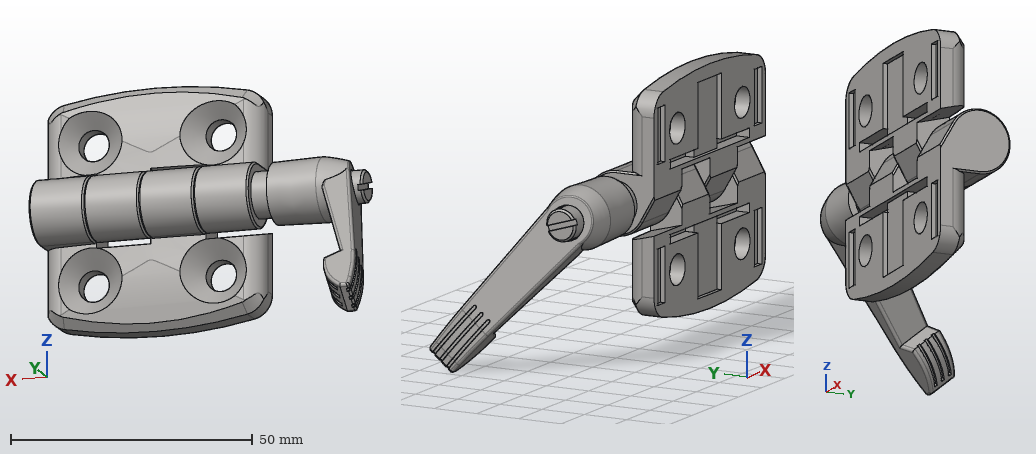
import cadquery as cq
import math

leaf_width = 48.05
leaf_reach = 26.0
leaf_thickness = 7.8
end_drop = 2.95
corner_radius = 4.95
crown_start = 10.85
crown_end_thickness = 5.5
crown_mid_sag = 0.6
side_wall = 2.8
side_round = 4.0
shoulder_height = 6.75
rim_wall = 4.5

axis_y = 9.0
knuckle_radius = 7.0
knuckle_pitch = leaf_width / 4
knuckle_chamfer = 0.4
knuckle_slope = 60.0
notch_start = 6.0
notch_slope = 15.0

hole_x = 13.95
hole_z = 15.0
hole_radius = 3.3
countersink_start = 3.4

pocket_depth = 1.0
side_pocket_x = 20.85
side_pocket_width = 3.0
side_pocket_z = (9.0, 21.0)
centre_pocket_width = 10.0
centre_pocket_z = (7.0, 23.0)
slot_length = 34.0
slot_z = (7.0, 9.0)
slot_depth = 3.0

stud_radius = 4.95
hub_end_x = -28.0
stud_socket = 7.0
pin_radius = 3.0
pin_end_x = 20.15

hub_end_radius = 6.6
hub_shoulder_x = -38.9
hub_shoulder_radius = 6.9
hub_nose_x = -47.6
hub_nose_radius = 4.4
hub_bulge = (-43.85, 5.7)
hub_round = 0.4
arm_face_x = -45.25
arm_lean = 0.25
arm_angle = 50.0
arm_length = 39.8
arm_root_half_width = 5.4
arm_tip_half_width = 3.65
arm_round = 0.6
grip_start = 28.1
grip_back = ((-53.1, 32.55), (-53.5, 37.2))
lever_left_x = -53.5
tip_corner = 0.5
tip_inner_x = -51.45
hook_bulge = (-47.6, 35.65)
hook_point = (-45.9, 30.0)
hook_root = (-49.05, 27.9)
arm_crotch = (-40.4, 5.65)

groove_start = 25.6
groove_pitch = 2.1
groove_width = 0.7
groove_depth = 0.3
grip_middle_x = -50.4

screw_head_radius = 3.5
screw_head_x = -48.0
screw_head_chamfer = 0.5
screw_seat_x = -43.4
screw_recess_radius = 3.7
screw_shank_radius = 2.0
screw_slot_width = 1.25
screw_slot_depth = 1.0
screw_slot_angle = 17.0

half_width = leaf_width / 2
stud_inner_x = hub_end_x - stud_socket


def box(x_range, y_range, z_range):
    """Axis-aligned block between the given limits."""
    size = [limits[1] - limits[0] for limits in (x_range, y_range, z_range)]
    corner = (x_range[0], y_range[0], z_range[0])
    return cq.Workplane("XY").box(*size, centered=False).translate(corner)


def rod(x_start, x_end, radius):
    """Cylinder along the hinge axis."""
    return (
        cq.Workplane("YZ", origin=(x_start, axis_y, 0))
        .circle(radius)
        .extrude(x_end - x_start)
    )


def leaf_plate():
    """Plate with a bowed end, a crowned back and rounded side shoulders."""
    side_top = leaf_reach - end_drop
    outline = (
        cq.Workplane("XZ")
        .moveTo(-half_width, notch_start)
        .lineTo(-half_width, side_top)
        .threePointArc((0, leaf_reach), (half_width, side_top))
        .lineTo(half_width, notch_start)
        .close()
        .extrude(-leaf_thickness)
        .edges("|Y")
        .edges(">Z")
        .fillet(corner_radius)
        .faces(">Y")
        .edges("not <Z")
        .chamfer(leaf_thickness - rim_wall)
    )
    crown_middle = (
        (leaf_thickness + crown_end_thickness) / 2 + crown_mid_sag,
        (crown_start + leaf_reach) / 2,
    )
    crown = (
        cq.Workplane("YZ")
        .moveTo(0, 0)
        .lineTo(leaf_thickness, 0)
        .lineTo(leaf_thickness, crown_start)
        .threePointArc(crown_middle, (crown_end_thickness, leaf_reach))
        .lineTo(0, leaf_reach)
        .close()
        .extrude(half_width, both=True)
    )
    shoulder_x = half_width - side_round
    bulge = math.sqrt(0.5)
    shoulder_middle_x = shoulder_x + side_round * bulge
    shoulder_middle_y = side_wall + (shoulder_height - side_wall) * bulge
    shoulders = (
        cq.Workplane("XY")
        .moveTo(-half_width, 0)
        .lineTo(-half_width, side_wall)
        .threePointArc((-shoulder_middle_x, shoulder_middle_y), (-shoulder_x, shoulder_height))
        .threePointArc((0, leaf_thickness), (shoulder_x, shoulder_height))
        .threePointArc((shoulder_middle_x, shoulder_middle_y), (half_width, side_wall))
        .lineTo(half_width, 0)
        .close()
        .extrude(leaf_reach)
    )
    return outline.intersect(crown).intersect(shoulders)


def notch(x_start):
    """Clearance for one knuckle of the other leaf, with a leaning floor."""
    floor_end = notch_start + leaf_thickness * math.tan(math.radians(notch_slope))
    return (
        cq.Workplane("YZ", origin=(x_start, 0, 0))
        .polyline([(0, 0), (0, notch_start), (leaf_thickness, floor_end), (leaf_thickness, 0)])
        .close()
        .extrude(knuckle_pitch)
    )


def knuckle(x_start):
    """Barrel and web of one knuckle, with chamfered ends."""
    slope = math.radians(knuckle_slope)
    barrel_and_relief = cq.selectors.BoxSelector(
        (-leaf_width, 0.8, -leaf_width), (leaf_width, leaf_width, knuckle_radius - 0.8)
    )
    tangent_y = axis_y - knuckle_radius * math.sin(slope)
    tangent_z = -knuckle_radius * math.cos(slope)
    relief_z = tangent_z + tangent_y * math.tan(slope)
    return (
        cq.Workplane("YZ", origin=(x_start, 0, 0))
        .moveTo(0, knuckle_radius)
        .lineTo(axis_y, knuckle_radius)
        .threePointArc((axis_y + knuckle_radius * math.sin(slope), tangent_z), (tangent_y, tangent_z))
        .lineTo(0, relief_z)
        .close()
        .extrude(knuckle_pitch)
        .faces("<X or >X")
        .edges(barrel_and_relief)
        .chamfer(knuckle_chamfer)
    )


def screw_hole(x):
    """Mounting hole with a 90 degree countersink open to the crowned side."""
    sink_radius = hole_radius + leaf_thickness - countersink_start
    profile = [
        (0, 0),
        (hole_radius, 0),
        (hole_radius, countersink_start),
        (sink_radius, leaf_thickness),
        (0, leaf_thickness),
    ]
    hole = cq.Workplane("XY").polyline(profile).close().revolve(360, (0, 0, 0), (0, 1, 0))
    return hole.translate((x, 0, hole_z))


def mounting_face_pockets():
    """Shallow pockets and the two deeper slots of the mounting face."""
    pockets = box(
        (-centre_pocket_width / 2, centre_pocket_width / 2), (0, pocket_depth), centre_pocket_z
    )
    slot_width = (slot_length - centre_pocket_width) / 2
    slot_middle = (slot_length + centre_pocket_width) / 4
    for side in (-1, 1):
        x_range = (side * slot_middle - slot_width / 2, side * slot_middle + slot_width / 2)
        pockets = pockets.union(box(x_range, (0, slot_depth), slot_z))
        middle = side * side_pocket_x
        x_range = (middle - side_pocket_width / 2, middle + side_pocket_width / 2)
        pockets = pockets.union(box(x_range, (0, pocket_depth), side_pocket_z))
    return pockets


def hinge_leaf():
    """Upper leaf: knuckles in the first and third quarters of the width."""
    leaf = leaf_plate()
    for quarter in (1, 3):
        leaf = leaf.cut(notch(-half_width + quarter * knuckle_pitch))
    for quarter in (0, 2):
        leaf = leaf.union(knuckle(-half_width + quarter * knuckle_pitch))
    for side in (-1, 1):
        leaf = leaf.cut(screw_hole(side * hole_x))
    return leaf.cut(mounting_face_pockets())


def hinge_stud():
    """Collar seated in the lever hub, with the hinge pin in one piece."""
    collar = rod(stud_inner_x, -half_width, stud_radius)
    return collar.union(rod(-half_width, pin_end_x, pin_radius))


def place_lever(body):
    return body.rotate((0, 0, 0), (1, 0, 0), -arm_angle).translate((0, axis_y, 0))


def outer_face_x(reach):
    """X of the leaning outer face at a signed reach from the hinge axis."""
    return arm_face_x - arm_lean * reach


def lever_hub():
    """Tapered hub whose nose is cut off in line with the arm's outer face."""
    hub = (
        cq.Workplane("XY")
        .moveTo(hub_end_x, 0)
        .lineTo(hub_end_x, hub_end_radius)
        .lineTo(hub_shoulder_x, hub_shoulder_radius)
        .threePointArc(hub_bulge, (hub_nose_x, hub_nose_radius))
        .lineTo(hub_nose_x, 0)
        .close()
        .revolve(360, (0, 0, 0), (1, 0, 0))
    )
    nose = [
        (lever_left_x, -arm_length),
        (outer_face_x(-arm_length), -arm_length),
        (outer_face_x(arm_length), arm_length),
        (outer_face_x(arm_length) + lever_left_x, arm_length),
        (lever_left_x + lever_left_x, -arm_length),
    ]
    nose_cut = cq.Workplane("XY").polyline(nose).close().extrude(arm_length, both=True)
    return hub.cut(nose_cut).faces("<X").edges().fillet(hub_round)


def lever_arm():
    """Tapered arm with a hooked grip, rounded along its edges."""
    profile = (
        cq.Workplane("XY")
        .moveTo(arm_face_x, 0)
        .lineTo(outer_face_x(grip_start), grip_start)
        .threePointArc(*grip_back)
        .lineTo(lever_left_x, arm_length - tip_corner)
        .lineTo(lever_left_x + tip_corner, arm_length)
        .lineTo(tip_inner_x, arm_length)
        .threePointArc(hook_bulge, hook_point)
        .lineTo(*hook_root)
        .lineTo(*arm_crotch)
        .lineTo(arm_crotch[0], 0)
        .close()
        .extrude(arm_root_half_width, both=True)
    )
    planform = (
        cq.Workplane("YZ", origin=(lever_left_x, 0, 0))
        .polyline(
            [
                (0, -arm_root_half_width),
                (arm_length, -arm_tip_half_width),
                (arm_length, arm_tip_half_width),
                (0, arm_root_half_width),
            ]
        )
        .close()
        .extrude(-lever_left_x)
    )
    arm = profile.intersect(planform)
    return arm.edges("not(|Z or <Y)").fillet(arm_round)


def groove_strips(start, x_range):
    """Three parallel strips with a round start that run past the tip of the arm."""
    length = arm_length - start
    rows = [(arm_length, position * groove_pitch) for position in (-1, 0, 1)]
    return (
        cq.Workplane("YZ", origin=(x_range[0], 0, 0))
        .pushPoints(rows)
        .slot2D(2 * length, groove_width)
        .extrude(x_range[1] - x_range[0])
    )


def cut_grip_grooves(arm):
    """Cut the grooves to an even depth into the grip's back and its hook."""
    back_core = arm.translate((groove_depth, 0, 0))
    hook_core = arm.translate((-groove_depth, -groove_depth, 0))
    back = groove_strips(groove_start, (lever_left_x, grip_middle_x)).cut(back_core)
    hook = groove_strips(hook_root[1], (grip_middle_x, hook_point[0])).cut(hook_core)
    return arm.cut(back).cut(hook)


def clamping_lever():
    """Hub and arm with a screw bore, a screw recess and the stud socket."""
    lever = lever_hub().union(cut_grip_grooves(lever_arm()))
    lever = place_lever(lever)
    lever = lever.cut(rod(stud_inner_x, hub_end_x, stud_radius))
    lever = lever.cut(rod(screw_seat_x, stud_inner_x, screw_shank_radius))
    return lever.cut(rod(lever_left_x, screw_seat_x, screw_recess_radius))


def lever_screw():
    """Slotted screw that holds the lever on the stud."""
    head = rod(screw_head_x, screw_seat_x, screw_head_radius)
    head = head.faces("<X").edges().chamfer(screw_head_chamfer)
    slot = (
        box(
            (screw_head_x, screw_head_x + screw_slot_depth),
            (-screw_head_radius, screw_head_radius),
            (-screw_slot_width / 2, screw_slot_width / 2),
        )
        .rotate((0, 0, 0), (1, 0, 0), -screw_slot_angle)
        .translate((0, axis_y, 0))
    )
    return head.cut(slot).union(rod(screw_seat_x, stud_inner_x, screw_shank_radius))


hinge_pin_bore = rod(-half_width, pin_end_x, pin_radius)
upper_leaf = hinge_leaf().cut(hinge_pin_bore)
lower_leaf = hinge_leaf().rotate((0, 0, 0), (0, 1, 0), 180).cut(hinge_pin_bore)
stud = hinge_stud()
lever = clamping_lever()
screw = lever_screw()

result = cq.Compound.makeCompound(
    [upper_leaf.val(), lower_leaf.val(), stud.val(), lever.val(), screw.val()]
)